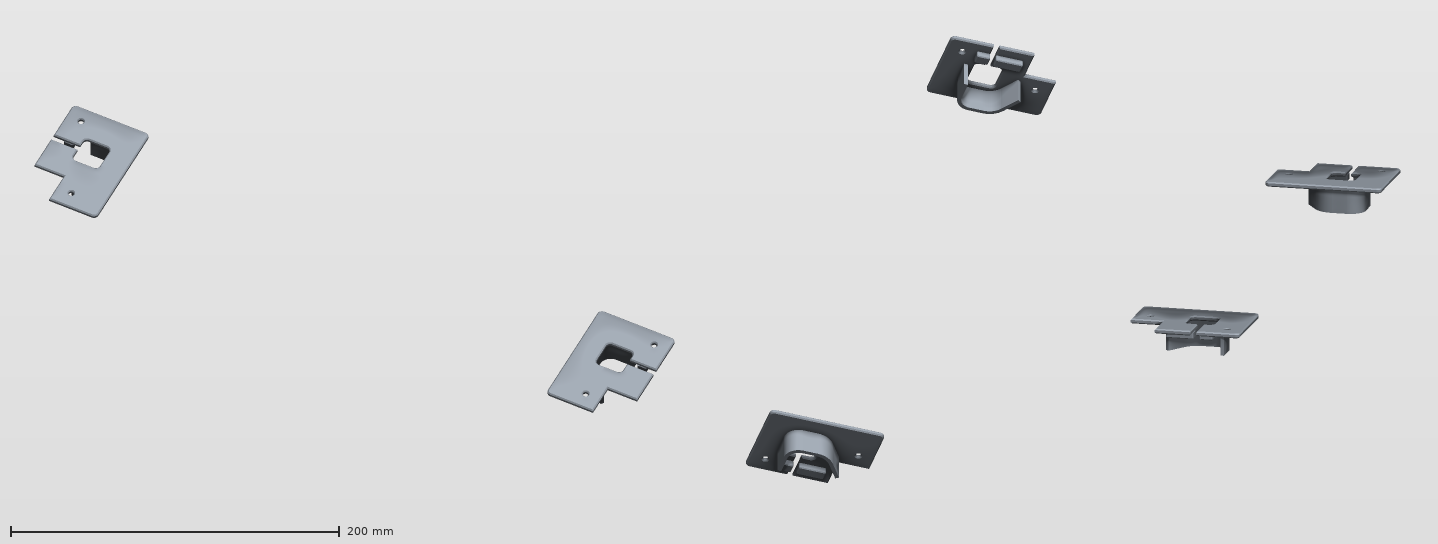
import cadquery as cq
import math

overall_length = 410.28
plate_length = 52.0
plate_width = 73.0
plate_thickness = 3.0
total_height = 19.6
plate_corner_radius = 3.0
plate_chamfer = 0.75

outer_x = -overall_length / 2
inner_x = outer_x + plate_length
back_y = plate_width / 2
front_y = -plate_width / 2

notch_length = 20.0
notch_width = 20.0
notch_x = outer_x + notch_length
notch_y = front_y + notch_width

window_size = 18.0
window_corner_radius = 3.0
window_x = outer_x + 27.0
window_y = back_y - 29.75
slot_width = 3.5
slot_y = back_y - 28.75

hole_diameter = 3.4
hole_inset = 10.0
hole_points = [
    (outer_x + hole_inset, back_y - hole_inset),
    (notch_x + hole_inset, front_y + hole_inset),
]

rib_width = 6.5
rib_length = 29.4
rib_height = 4.0
rib_corner_radius = 1.0
rib_chamfer = 0.6
rib_x = outer_x + 10.0
rib_y = back_y - 33.2

skirt_thickness = 2.4
skirt_height = total_height - plate_thickness
skirt_outer_x = outer_x + 42.0
skirt_inner_x = skirt_outer_x - skirt_thickness
web_back_y = back_y - 23.8
web_front_y = back_y - 33.2
back_bend_radius = 7.0
front_bend_radius = 11.6
back_bend_angle = math.radians(90)
front_bend_angle = math.radians(55.5)
back_arm_end_x = notch_x
front_arm_length = 13.0


def make_plate():
    plate = (
        cq.Workplane("XY")
        .moveTo(outer_x, back_y)
        .lineTo(inner_x, back_y)
        .lineTo(inner_x, front_y)
        .lineTo(notch_x, front_y)
        .lineTo(notch_x, notch_y)
        .lineTo(outer_x, notch_y)
        .close()
        .extrude(-plate_thickness)
    )
    rounded_corners = [(outer_x, back_y), (inner_x, back_y), (inner_x, front_y)]
    for x, y in rounded_corners:
        corner = cq.selectors.NearestToPointSelector((x, y, -plate_thickness / 2))
        plate = plate.edges(corner).fillet(plate_corner_radius)
    return plate


def make_rib(slot):
    return (
        cq.Workplane("XY")
        .workplane(offset=-plate_thickness)
        .center(rib_x, rib_y)
        .rect(rib_width, rib_length)
        .extrude(-rib_height)
        .cut(slot)
        .edges("|Z")
        .fillet(rib_corner_radius)
        .faces("<Z")
        .chamfer(rib_chamfer)
    )


def bend_point(face_x, radius, angle, web_end_y, side):
    """Point on a bend, turned by angle from the web; side is +1 at the back, -1 at the front."""
    x = face_x - radius * (1 - math.cos(angle))
    y = web_end_y + side * radius * math.sin(angle)
    return (x, y)


def arm_end(bend_end, length, angle, side):
    """Far end of the straight arm that leaves a bend tangentially."""
    x = bend_end[0] - length * math.sin(angle)
    y = bend_end[1] + side * length * math.cos(angle)
    return (x, y)


def make_bent_end(web_end_y, inner_radius, angle, arm_length, side):
    """One bend of the skirt together with its arm."""
    outer_radius = inner_radius + skirt_thickness
    outer_middle = bend_point(skirt_outer_x, outer_radius, angle / 2, web_end_y, side)
    outer_end = bend_point(skirt_outer_x, outer_radius, angle, web_end_y, side)
    inner_middle = bend_point(skirt_inner_x, inner_radius, angle / 2, web_end_y, side)
    inner_end = bend_point(skirt_inner_x, inner_radius, angle, web_end_y, side)
    return (
        cq.Workplane("XY")
        .workplane(offset=-plate_thickness)
        .moveTo(skirt_outer_x, web_end_y)
        .threePointArc(outer_middle, outer_end)
        .lineTo(*arm_end(outer_end, arm_length, angle, side))
        .lineTo(*arm_end(inner_end, arm_length, angle, side))
        .lineTo(*inner_end)
        .threePointArc(inner_middle, (skirt_inner_x, web_end_y))
        .close()
        .extrude(-skirt_height)
    )


def make_skirt():
    web = (
        cq.Workplane("XY")
        .workplane(offset=-plate_thickness)
        .moveTo(skirt_inner_x, web_front_y)
        .lineTo(skirt_outer_x, web_front_y)
        .lineTo(skirt_outer_x, web_back_y)
        .lineTo(skirt_inner_x, web_back_y)
        .close()
        .extrude(-skirt_height)
    )
    back_arm_length = skirt_inner_x - back_bend_radius - back_arm_end_x
    back_end = make_bent_end(web_back_y, back_bend_radius, back_bend_angle, back_arm_length, 1)
    front_end = make_bent_end(web_front_y, front_bend_radius, front_bend_angle, front_arm_length, -1)
    return web.union(back_end).union(front_end)


def make_window():
    return (
        cq.Workplane("XY")
        .center(window_x, window_y)
        .rect(window_size, window_size)
        .extrude(-plate_thickness)
        .edges("|Z")
        .fillet(window_corner_radius)
    )


def make_slot():
    slot_length = window_x - outer_x
    return (
        cq.Workplane("XY")
        .center(outer_x + slot_length / 2, slot_y)
        .rect(slot_length, slot_width)
        .extrude(-(plate_thickness + rib_height))
    )


def make_holes():
    return (
        cq.Workplane("XY")
        .pushPoints(hole_points)
        .circle(hole_diameter / 2)
        .extrude(-plate_thickness)
    )


def make_guide_plate():
    slot = make_slot()
    plate = make_plate().cut(make_window()).cut(slot).cut(make_holes())
    plate = plate.faces(">Z or <Z").edges().chamfer(plate_chamfer)
    return plate.union(make_rib(slot)).union(make_skirt())


left_guide_plate = make_guide_plate()
right_guide_plate = left_guide_plate.mirror("YZ")

result = cq.Compound.makeCompound([left_guide_plate.val(), right_guide_plate.val()])